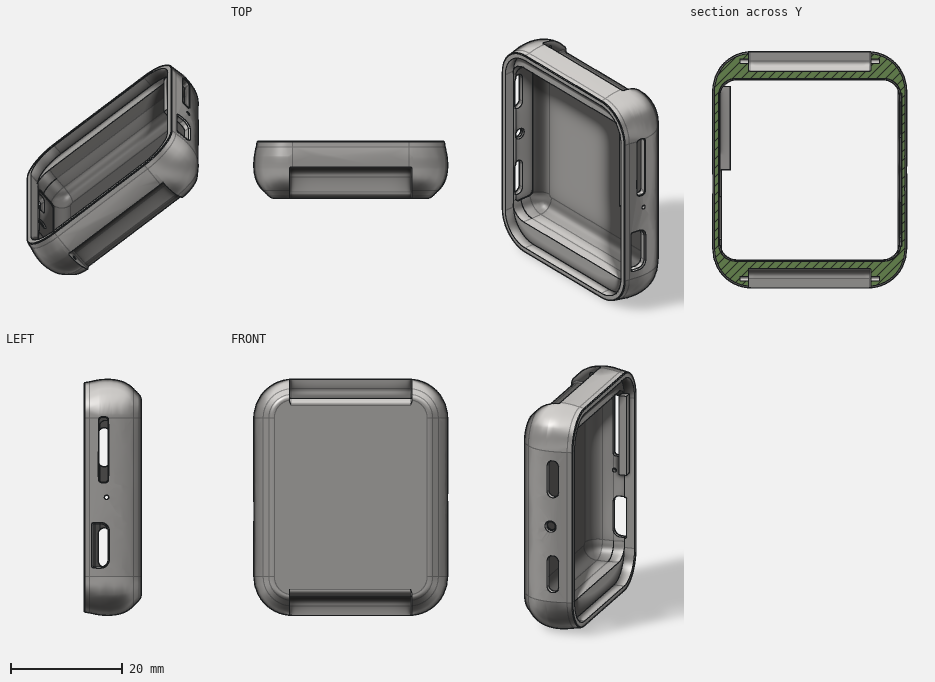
import cadquery as cq
import math

WIDTH = 34.89
THICKNESS = 10.28
HEIGHT = 42.49
CORNER_RADIUS = 7.0
FRONT_Y = THICKNESS / 2

RIM_CHAMFER = 0.15
FRONT_INSET = 0.6
SHOULDER_INSET, SHOULDER_DEPTH = 0.45, 1.0
WIDEST_DEPTH = 4.2
BULGE_INSET, BULGE_DEPTH = 0.42, 6.9
BEVEL_START_INSET, BEVEL_START_DEPTH = 1.7, 8.85
BACK_ROUND = 1.41
BACK_ROUND_DEPTH = THICKNESS - BACK_ROUND * (1 - math.cos(math.pi / 4))
BEVEL_END_INSET = BEVEL_START_INSET + BACK_ROUND_DEPTH - BEVEL_START_DEPTH
BACK_INSET = BEVEL_END_INSET + BACK_ROUND * math.sin(math.pi / 4)
RING_INSET = 5.0

RIM_INSET = 1.6
RIM_DEPTH = 1.97
CAVITY_WIDTH = 32.7
CAVITY_HEIGHT = 32.8
CAVITY_RADIUS = 3.0
CAVITY_DEPTH = 8.8
CAVITY_FLOOR_FILLET = 2.5
FLARE_DEPTH = 2.2
FLARE_ANGLE = 6.0

GROOVE_LENGTH = 22.0
GROOVE_DEPTH = 4.66
GROOVE_HOLLOW_RADIUS = 1.8
GROOVE_DROP = 3.5
GROOVE_LIP_RADIUS = 1.2
GROOVE_CORNER_FILLET = 0.27
PIN_HOLE_DIAMETER = 0.75
PIN_HOLE_REACH = 1.5
PIN_DROP = GROOVE_DROP - GROOVE_HOLLOW_RADIUS
PIN_DEPTH = GROOVE_DEPTH + GROOVE_HOLLOW_RADIUS

CARD_SLOT_TOP, CARD_SLOT_BOTTOM = 14.37, 2.73
CARD_SLOT_FRONT, CARD_SLOT_BACK = 2.68, 4.29
CARD_SLOT_RADIUS = 0.55
CARD_SLOT_LIP = 0.13
LEDGE_BOTTOM, LEDGE_TOP = 0.0, 15.0
LEDGE_FRONT, LEDGE_BACK = 1.0, 2.4
LEDGE_OUTER_INSET, LEDGE_INNER_INSET = 1.0, 3.2
PORT_TOP, PORT_BOTTOM = -4.75, -12.5
PORT_FRONT, PORT_BACK = 1.55, 4.3
PORT_FRONT_RADIUS = 0.25
PORT_BACK_RADIUS = 1.35
PORT_LIP = 0.25
SOUND_HOLE_DIAMETER = 0.75
SOUND_HOLE_DEPTH = 4.03
SENSOR_DIAMETER = 1.6
SENSOR_LIP = 0.25

INNER_REACH = 14.0
MOUTH_REACH = 1.0
MOUTH_MARGIN = 0.1

BUTTON_LENGTH = 7.0
BUTTON_WIDTH = 2.1
BUTTON_DEPTH = 3.61
BUTTON_HEIGHT = 9.0
RECESS_HEIGHT = 27.6
RECESS_FRONT, RECESS_BACK = 2.83, 7.0
RECESS_RADIUS = 0.9
RECESS_CUT = 0.15


def y_at(depth):
    """Y coordinate of a depth measured back from the front face."""
    return FRONT_Y - depth


def rounded_block(width, height, radius, front, back):
    """Block with rounded upright edges, between two depths."""
    block = cq.Workplane("XZ", origin=(0, y_at(front), 0)).rect(width, height).extrude(back - front)
    return block.edges("|Y").fillet(radius)


def make_body():
    """Solid case shape: the rim profile swept round the outline, filled with a block."""
    def rim(inset, depth):
        return (inset - WIDTH / 2, y_at(depth))

    side, end = WIDTH / 2, HEIGHT / 2
    flat_x, flat_z = side - CORNER_RADIUS, end - CORNER_RADIUS
    half_bend = math.pi / 8
    round_mid = rim(
        BACK_INSET - BACK_ROUND * math.sin(half_bend),
        THICKNESS - BACK_ROUND * (1 - math.cos(half_bend)),
    )
    profile = (
        cq.Workplane("XY", origin=(0, 0, flat_z))
        .moveTo(*rim(RING_INSET, 0))
        .lineTo(*rim(FRONT_INSET + RIM_CHAMFER, 0))
        .lineTo(*rim(FRONT_INSET, RIM_CHAMFER))
        .lineTo(*rim(SHOULDER_INSET, SHOULDER_DEPTH))
        .spline(
            [
                rim(0, WIDEST_DEPTH),
                rim(BULGE_INSET, BULGE_DEPTH),
                rim(BEVEL_START_INSET, BEVEL_START_DEPTH),
            ],
            includeCurrent=True,
        )
        .lineTo(*rim(BEVEL_END_INSET, BACK_ROUND_DEPTH))
        .threePointArc(round_mid, rim(BACK_INSET, THICKNESS))
        .lineTo(*rim(RING_INSET, THICKNESS))
        .close()
    )
    path = (
        cq.Workplane("XZ")
        .moveTo(-side, flat_z)
        .radiusArc((-flat_x, end), CORNER_RADIUS)
        .lineTo(flat_x, end)
        .radiusArc((side, flat_z), CORNER_RADIUS)
        .lineTo(side, -flat_z)
        .radiusArc((flat_x, -end), CORNER_RADIUS)
        .lineTo(-flat_x, -end)
        .radiusArc((-side, -flat_z), CORNER_RADIUS)
        .close()
    )
    ring = profile.sweep(path)
    core = rounded_block(
        WIDTH - 2 * RING_INSET,
        HEIGHT - 2 * RING_INSET,
        CORNER_RADIUS - RING_INSET,
        0,
        THICKNESS,
    )
    return ring.union(core)


def front_opening():
    """Opening in the front face, framed by the rim."""
    return rounded_block(
        WIDTH - 2 * RIM_INSET,
        HEIGHT - 2 * RIM_INSET,
        CORNER_RADIUS - RIM_INSET,
        0,
        RIM_DEPTH,
    )


def cavity():
    """Interior that undercuts the rim behind the opening and runs straight to a rounded floor."""
    flare_end = RIM_DEPTH + FLARE_DEPTH
    mouth = (
        cq.Workplane("XZ", origin=(0, y_at(flare_end), 0))
        .rect(CAVITY_WIDTH, CAVITY_HEIGHT)
        .extrude(-FLARE_DEPTH, taper=FLARE_ANGLE)
    )
    mouth = mouth.edges("not(<Y or >Y)").fillet(CAVITY_RADIUS)
    room = rounded_block(CAVITY_WIDTH, CAVITY_HEIGHT, CAVITY_RADIUS, flare_end, CAVITY_DEPTH)
    return mouth.union(room.faces("<Y").edges().fillet(CAVITY_FLOOR_FILLET))


def groove_cutter():
    """Strap groove at the +Z end, with a hollow root and a rounded lip at the back face."""
    end = HEIGHT / 2
    floor = end - GROOVE_DROP
    root = floor + GROOVE_HOLLOW_RADIUS
    root_depth = GROOVE_DEPTH + GROOVE_HOLLOW_RADIUS
    lip_depth = THICKNESS - GROOVE_LIP_RADIUS
    clear_y, clear_z = y_at(THICKNESS + 1), end + 1
    return (
        cq.Workplane("YZ")
        .moveTo(y_at(GROOVE_DEPTH), clear_z)
        .lineTo(y_at(GROOVE_DEPTH), root)
        .radiusArc((y_at(root_depth), floor), GROOVE_HOLLOW_RADIUS)
        .lineTo(y_at(lip_depth), floor)
        .radiusArc((y_at(THICKNESS), floor - GROOVE_LIP_RADIUS), -GROOVE_LIP_RADIUS)
        .lineTo(clear_y, floor - GROOVE_LIP_RADIUS)
        .lineTo(clear_y, clear_z)
        .close()
        .extrude(GROOVE_LENGTH / 2, both=True)
    )


def pin_holes():
    """Hole for the strap pin, running into both ends of the +Z groove."""
    length = GROOVE_LENGTH + 2 * PIN_HOLE_REACH
    centre = (-length / 2, y_at(PIN_DEPTH), HEIGHT / 2 - PIN_DROP)
    return cq.Workplane("YZ", origin=centre).circle(PIN_HOLE_DIAMETER / 2).extrude(length)


def side_block(front, back, bottom, top, start, length):
    """Block running along X from `start`, between two depths and two Z levels."""
    centre = (start, y_at((front + back) / 2), (bottom + top) / 2)
    return cq.Workplane("YZ", origin=centre).rect(back - front, top - bottom).extrude(length)


def side_opening(front, back, bottom, top, front_radius, back_radius):
    """Opening through the -X wall, with separate corner radii toward the front and the back."""
    block = side_block(front, back, bottom, top, -WIDTH, WIDTH - INNER_REACH)
    block = block.edges("|X and >Y").fillet(front_radius)
    return block.edges("|X and <Y").fillet(back_radius)


def card_ledge():
    """Ledge inside the -X wall, just in front of the card slot."""
    return side_block(
        LEDGE_FRONT,
        LEDGE_BACK,
        LEDGE_BOTTOM,
        LEDGE_TOP,
        LEDGE_OUTER_INSET - WIDTH / 2,
        LEDGE_INNER_INSET - LEDGE_OUTER_INSET,
    )


def break_mouth(case, sign, front, back, bottom, top, size):
    """Chamfer the mouth of an opening on the side of the case with the given X sign."""
    region = cq.selectors.BoxSelector(
        (sign * WIDTH, y_at(back + MOUTH_MARGIN), bottom - MOUTH_MARGIN),
        (sign * (WIDTH / 2 - MOUTH_REACH), y_at(front - MOUTH_MARGIN), top + MOUTH_MARGIN),
    )
    return case.edges(region).chamfer(size)


def button_opening(height):
    """Round-ended opening through the +X wall, centred at a Z level."""
    return (
        cq.Workplane("YZ", origin=(0, y_at(BUTTON_DEPTH), height))
        .slot2D(BUTTON_LENGTH, BUTTON_WIDTH, 90)
        .extrude(WIDTH)
    )


def button_recess():
    recess = side_block(
        RECESS_FRONT,
        RECESS_BACK,
        -RECESS_HEIGHT / 2,
        RECESS_HEIGHT / 2,
        0,
        CAVITY_WIDTH / 2 + RECESS_CUT,
    )
    return recess.edges("|X").fillet(RECESS_RADIUS)


def sound_hole():
    return (
        cq.Workplane("YZ", origin=(0, y_at(SOUND_HOLE_DEPTH), 0))
        .circle(SOUND_HOLE_DIAMETER / 2)
        .extrude(WIDTH, both=True)
    )


def sensor_opening():
    """Round opening through the +X wall, opposite the sound hole."""
    return (
        cq.Workplane("YZ", origin=(0, y_at(SOUND_HOLE_DEPTH), 0))
        .circle(SENSOR_DIAMETER / 2)
        .extrude(WIDTH)
    )


def make_case():
    groove = groove_cutter()
    round_corners = "not(<Z or >Z or <Y or >Y)"
    upper_groove = groove.faces("<X or >X").edges(round_corners).fillet(GROOVE_CORNER_FILLET)
    lower_groove = groove.faces(">X").edges(round_corners).fillet(GROOVE_CORNER_FILLET).mirror("XY")
    case = make_body().cut(upper_groove).cut(lower_groove)
    case = case.cut(pin_holes()).cut(pin_holes().mirror("XY"))
    case = case.cut(front_opening())
    case = case.cut(cavity()).union(card_ledge())
    case = case.cut(button_recess()).cut(sensor_opening())
    for height in (-BUTTON_HEIGHT, BUTTON_HEIGHT):
        case = case.cut(button_opening(height))
    card_slot = (CARD_SLOT_FRONT, CARD_SLOT_BACK, CARD_SLOT_BOTTOM, CARD_SLOT_TOP)
    port = (PORT_FRONT, PORT_BACK, PORT_BOTTOM, PORT_TOP)
    sensor_radius = SENSOR_DIAMETER / 2
    sensor = (
        SOUND_HOLE_DEPTH - sensor_radius,
        SOUND_HOLE_DEPTH + sensor_radius,
        -sensor_radius,
        sensor_radius,
    )
    case = case.cut(side_opening(*card_slot, CARD_SLOT_RADIUS, CARD_SLOT_RADIUS))
    case = case.cut(side_opening(*port, PORT_FRONT_RADIUS, PORT_BACK_RADIUS))
    case = case.cut(sound_hole())
    case = break_mouth(case, -1, *card_slot, CARD_SLOT_LIP)
    case = break_mouth(case, -1, *port, PORT_LIP)
    return break_mouth(case, 1, *sensor, SENSOR_LIP)


case = make_case()
result = cq.Compound.makeCompound([case.val()])